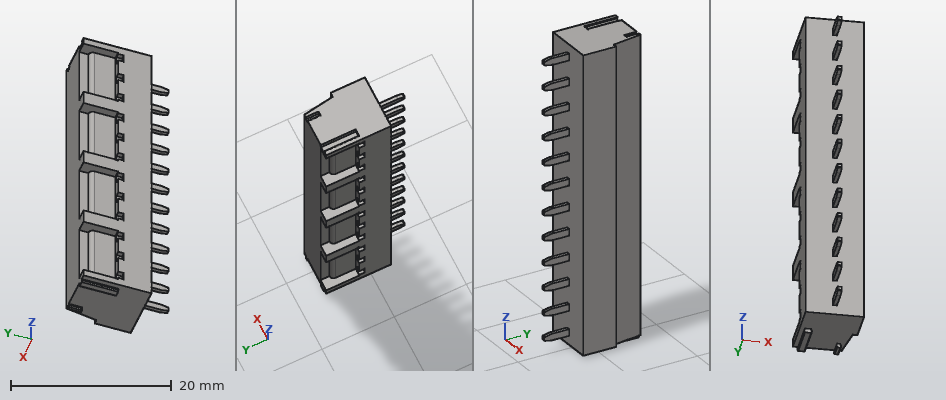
import cadquery as cq
total_height = 42.55
body_width = 7.4
body_depth = 9.0
key_height = 0.55
body_height = total_height - key_height

pin_count = 12
pins_per_pocket = 3
pin_pitch = body_height / pin_count
pin_length = 3.57
pin_thickness = 0.5
pin_height = 0.95
pin_taper_length = 0.98
pin_taper_height = 0.55
pin_tip_chamfer = 0.1

relief_length = 4.25
relief_step = 0.6
relief_draft = 0.65

pocket_rib = 2.0
pocket_length = 4.6
pocket_depth = 1.0
pocket_height = pins_per_pocket * pin_pitch - pocket_rib
mouth_length = 1.25
mouth_depth = 1.57
mouth_radius = mouth_depth - pocket_depth
notch_length = 0.75
notch_depth = 0.65
notch_height = 1.1

keys = [
    (1.05, 1.0, 4.85),
    (5.5, 0.65, 1.8),
]
key_bevel = 0.13
key_neck_height = 0.35
groove_depth = 0.45
groove_neck_height = 0.25
groove_clearance = 0.1


def make_body():
    """Block with a stepped, drafted relief at the back of its +X side."""
    step_x = body_width - relief_step
    return (
        cq.Workplane("XY")
        .moveTo(0, 0)
        .lineTo(body_width, 0)
        .lineTo(body_width, body_depth - relief_length)
        .lineTo(step_x, body_depth - relief_length)
        .lineTo(step_x - relief_draft, body_depth)
        .lineTo(0, body_depth)
        .close()
        .extrude(body_height)
    )


def make_pin(z):
    """Flat pin with a tapered, chamfered tip, centred at height z."""
    taper_y = pin_taper_length - pin_length
    chamfer_y = pin_tip_chamfer - pin_length
    tip_height = pin_taper_height - 2 * pin_tip_chamfer
    return (
        cq.Workplane("YZ", origin=((body_width - pin_thickness) / 2, 0, z))
        .moveTo(0, -pin_height / 2)
        .lineTo(taper_y, -pin_height / 2)
        .lineTo(chamfer_y, -pin_taper_height / 2)
        .lineTo(-pin_length, -tip_height / 2)
        .lineTo(-pin_length, tip_height / 2)
        .lineTo(chamfer_y, pin_taper_height / 2)
        .lineTo(taper_y, pin_height / 2)
        .lineTo(0, pin_height / 2)
        .close()
        .extrude(pin_thickness)
    )


def make_pocket(z):
    """Cutter for one pocket starting at height z, with a deeper, rounded mouth at the back."""
    mouth_y = body_depth - mouth_length
    return (
        cq.Workplane("XY", origin=(0, 0, z))
        .moveTo(0, body_depth)
        .lineTo(mouth_depth, body_depth)
        .lineTo(mouth_depth, mouth_y)
        .radiusArc((pocket_depth, mouth_y - mouth_radius), -mouth_radius)
        .lineTo(pocket_depth, body_depth - pocket_length)
        .lineTo(0, body_depth - pocket_length)
        .close()
        .extrude(pocket_height)
    )


def make_notch(z):
    """Cutter for the shallow notch beside a pocket, centred at height z."""
    return cq.Workplane("XY").box(
        notch_depth, notch_length, notch_height, centered=(False, False, True)
    ).translate((0, body_depth - pocket_length - notch_length, z))


def make_rail(centre_x, z, neck_width, wide_width, foot_width, neck_height, height, length):
    """Six-sided rail hanging from height z: widens below its neck, then narrows to its foot."""
    return (
        cq.Workplane("XZ", origin=(centre_x, body_depth, z))
        .moveTo(-neck_width / 2, 0)
        .lineTo(-wide_width / 2, -neck_height)
        .lineTo(-foot_width / 2, -height)
        .lineTo(foot_width / 2, -height)
        .lineTo(wide_width / 2, -neck_height)
        .lineTo(neck_width / 2, 0)
        .close()
        .extrude(length)
    )


def make_key(centre_x, width, length):
    """Key on the underside of the body."""
    narrow = width - 2 * key_bevel
    return make_rail(centre_x, 0, narrow, width, narrow, key_neck_height, key_height, length)


def make_groove(centre_x, width, length):
    """Cutter for the groove in the top that takes a key; only its mouth and waist have clearance."""
    foot = width - 2 * key_bevel
    mouth = foot + 2 * groove_clearance
    waist = width + 2 * groove_clearance
    return make_rail(
        centre_x, body_height, mouth, waist, foot, groove_neck_height, groove_depth, length
    )


result = make_body()

for group in range(pin_count // pins_per_pocket):
    group_z = group * pins_per_pocket * pin_pitch
    result = result.cut(make_pocket(group_z + pocket_rib / 2))

for index in range(pin_count):
    pin_z = (index + 0.5) * pin_pitch
    result = result.cut(make_notch(pin_z)).union(make_pin(pin_z))

for key_x, key_width, key_length in keys:
    result = result.union(make_key(key_x, key_width, key_length))
    result = result.cut(make_groove(key_x, key_width, key_length))